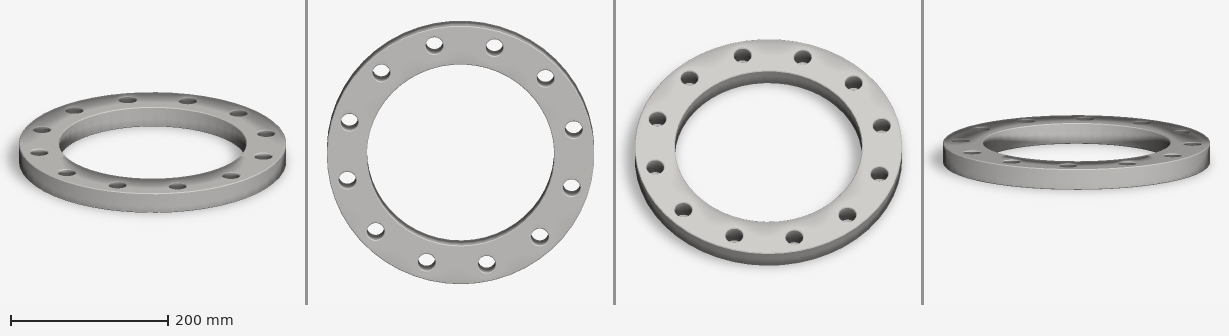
import cadquery as cq

outer_diameter = 340.0
bore_diameter = 238.0
thickness = 27.0

hole_count = 12
hole_diameter = 22.0
bolt_circle_diameter = 295.0

edge_chamfer = 1.0


def make_ring():
    """Flat ring centred on Z with its lower face at Z = 0."""
    return (
        cq.Workplane("XY")
        .circle(outer_diameter / 2)
        .circle(bore_diameter / 2)
        .extrude(thickness)
    )


def make_bolt_holes():
    """Through-hole cylinders evenly spaced on the bolt circle, the first on +X."""
    return (
        cq.Workplane("XY")
        .polarArray(bolt_circle_diameter / 2, 0, 360, hole_count)
        .circle(hole_diameter / 2)
        .extrude(thickness)
    )


flange = make_ring().cut(make_bolt_holes())

result = flange.faces("<Z or >Z").edges().chamfer(edge_chamfer)